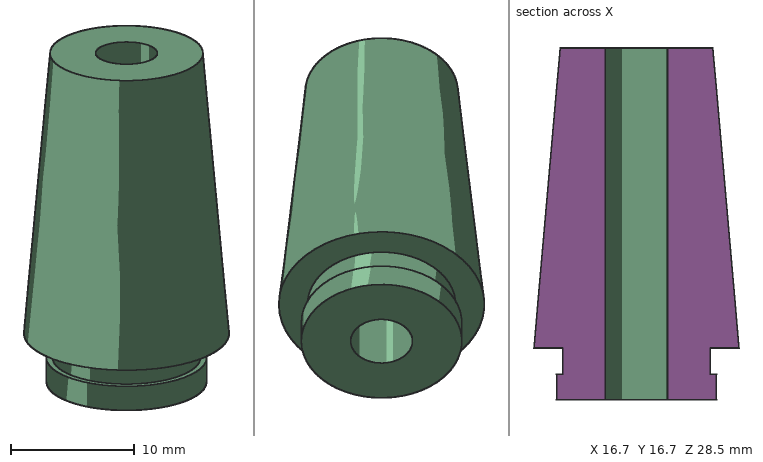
import cadquery as cq
import math

TOTAL_HEIGHT = 28.5
COLLAR_DIAMETER = 13.0
COLLAR_HEIGHT = 2.1
NECK_DIAMETER = 12.0
NECK_HEIGHT = 2.1
BODY_TOP_DIAMETER = 12.4
BODY_TAPER_ANGLE = 5.0
BORE_DIAMETER = 5.0

NECK_TOP = COLLAR_HEIGHT + NECK_HEIGHT
BODY_HEIGHT = TOTAL_HEIGHT - NECK_TOP
BODY_TOP_RADIUS = BODY_TOP_DIAMETER / 2
BODY_BASE_RADIUS = BODY_TOP_RADIUS + BODY_HEIGHT * math.tan(math.radians(BODY_TAPER_ANGLE))


def turned_blank():
    """Collar, neck and tapered body as one profile turned about Z."""
    collar_radius = COLLAR_DIAMETER / 2
    neck_radius = NECK_DIAMETER / 2
    profile = (
        cq.Workplane("XZ")
        .lineTo(collar_radius, 0)
        .lineTo(collar_radius, COLLAR_HEIGHT)
        .lineTo(neck_radius, COLLAR_HEIGHT)
        .lineTo(neck_radius, NECK_TOP)
        .lineTo(BODY_BASE_RADIUS, NECK_TOP)
        .lineTo(BODY_TOP_RADIUS, TOTAL_HEIGHT)
        .lineTo(0, TOTAL_HEIGHT)
        .close()
    )
    return profile.revolve(360, (0, 0, 0), (0, 1, 0))


def axial_bore():
    """Straight hole running the full height of the part."""
    return cq.Workplane("XY").circle(BORE_DIAMETER / 2).extrude(TOTAL_HEIGHT)


result = turned_blank().cut(axial_bore())